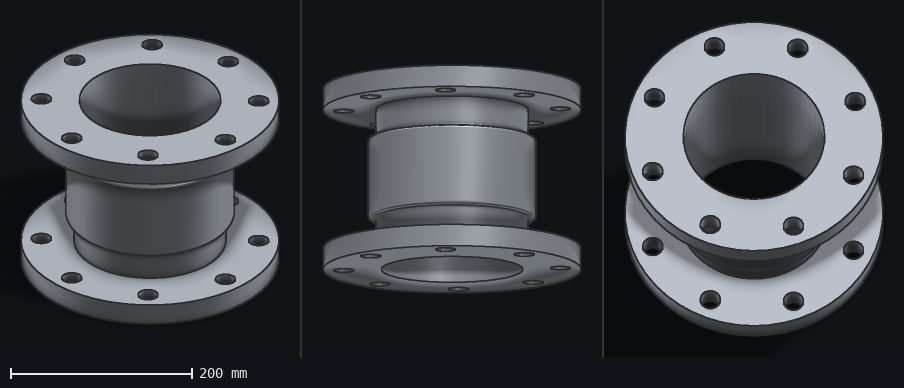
import cadquery as cq

flange_diameter = 285.0
total_height = 203.0
flange_thickness = 24.0

bore_diameter = 156.0
pipe_diameter = 168.2
sleeve_diameter = 186.0
sleeve_length = 88.4
sleeve_fillet_radius = 2.8

bolt_count = 8
bolt_circle_diameter = 240.0
bolt_hole_diameter = 22.0
first_bolt_angle = 360 / bolt_count / 2


def cylinder(diameter, height, bottom):
    return cq.Workplane("XY").workplane(offset=bottom).circle(diameter / 2).extrude(height)


def sleeve():
    """Ring around the middle of the pipe, with rounded rims and filleted roots at both ends."""
    end = sleeve_length / 2
    fillet = sleeve_fillet_radius
    pipe_radius = pipe_diameter / 2
    outer_radius = sleeve_diameter / 2
    half_profile = (
        cq.Workplane("XZ")
        .moveTo(0, -end - fillet)
        .lineTo(pipe_radius, -end - fillet)
        .radiusArc((pipe_radius + fillet, -end), fillet)
        .lineTo(outer_radius - fillet, -end)
        .radiusArc((outer_radius, -end + fillet), -fillet)
        .lineTo(outer_radius, end - fillet)
        .radiusArc((outer_radius - fillet, end), -fillet)
        .lineTo(pipe_radius + fillet, end)
        .radiusArc((pipe_radius, end + fillet), fillet)
        .lineTo(0, end + fillet)
        .close()
    )
    return half_profile.revolve(360, (0, 0), (0, 1))


def bolt_holes():
    return (
        cq.Workplane("XY")
        .workplane(offset=-total_height / 2)
        .polarArray(bolt_circle_diameter / 2, first_bolt_angle, 360, bolt_count)
        .circle(bolt_hole_diameter / 2)
        .extrude(total_height)
    )


bottom = -total_height / 2
pipe = cylinder(pipe_diameter, total_height, bottom)
lower_flange = cylinder(flange_diameter, flange_thickness, bottom)
upper_flange = cylinder(flange_diameter, flange_thickness, -bottom - flange_thickness)
bore = cylinder(bore_diameter, total_height, bottom)

result = pipe.union(lower_flange).union(upper_flange).union(sleeve()).cut(bore).cut(bolt_holes())